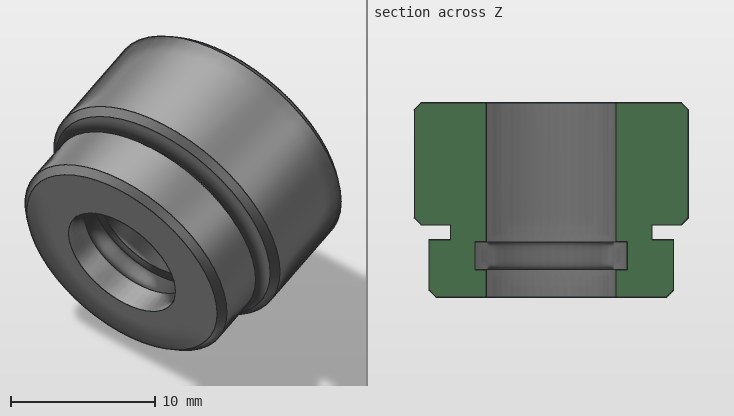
import cadquery as cq

body_diameter = 19.05
nose_diameter = 17.0
neck_diameter = 14.0
bore_diameter = 9.0
ring_groove_diameter = 10.55

total_length = 13.5
nose_length = 4.0
body_length = 8.5
edge_chamfer = 0.5

ring_groove_depth_from_nose = 1.92
ring_groove_width = 1.92

nose_face = -total_length / 2
neck_start = nose_face + nose_length
neck_length = total_length - nose_length - body_length
body_start = neck_start + neck_length
ring_groove_start = nose_face + ring_groove_depth_from_nose


def cylinder(diameter, start, length):
    """Solid cylinder on the Y axis, running towards +Y from the given start."""
    plane = cq.Plane(origin=(0, start, 0), xDir=(1, 0, 0), normal=(0, 1, 0))
    return cq.Workplane(plane).circle(diameter / 2).extrude(length)


nose = cylinder(nose_diameter, nose_face, nose_length).faces("<Y").edges().chamfer(edge_chamfer)
neck = cylinder(neck_diameter, neck_start, neck_length)
body = cylinder(body_diameter, body_start, body_length).edges("%CIRCLE").chamfer(edge_chamfer)

bore = cylinder(bore_diameter, nose_face, total_length)
ring_groove = cylinder(ring_groove_diameter, ring_groove_start, ring_groove_width)

result = nose.union(neck).union(body).cut(bore).cut(ring_groove)